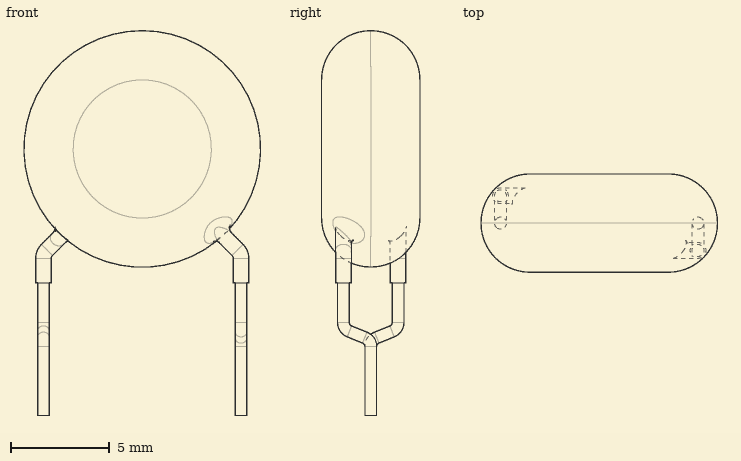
import cadquery as cq
import math

body_diameter = 12.0
body_thickness = 5.0
body_radius = body_diameter / 2
rim_radius = body_thickness / 2
flat_radius = body_radius - rim_radius

total_height = 19.5
lead_spacing = 10.0
lead_offset = 1.38
wire_diameter = 0.6
sleeve_diameter = 0.8
lead_x = lead_spacing / 2
tip_z = body_radius - total_height

sleeve_bottom_z = -6.79
sleeve_bend_z = -5.54
sleeve_bend_radius = 0.6
sleeve_bend_angle = math.radians(45)
sleeve_slope_length = 2.73
sleeve_fillet = 0.6

jog_bottom_z = -10.0
jog_bend_radius = 0.49
jog_bend_angle = math.radians(68)


def arc_offset(radius, angle):
    """Sideways and lengthwise travel along an arc that starts vertical."""
    return radius * (1 - math.cos(angle)), radius * math.sin(angle)


def make_body():
    """Flat disc core surrounded by a torus that forms the rounded rim."""
    core = cq.Workplane("XZ").circle(flat_radius).extrude(rim_radius, both=True)
    rim = cq.Solid.makeTorus(flat_radius, rim_radius, cq.Vector(0, 0, 0), cq.Vector(0, 1, 0))
    return core.union(cq.Workplane(obj=rim))


def make_sleeve():
    """Sleeve of the lead at -X, on the +Y side."""
    middle = arc_offset(sleeve_bend_radius, sleeve_bend_angle / 2)
    end = arc_offset(sleeve_bend_radius, sleeve_bend_angle)
    bend_end = (-lead_x + end[0], sleeve_bend_z + end[1])
    slope_end = (
        bend_end[0] + sleeve_slope_length * math.sin(sleeve_bend_angle),
        bend_end[1] + sleeve_slope_length * math.cos(sleeve_bend_angle),
    )
    path = (
        cq.Workplane("XZ", origin=(0, lead_offset, 0))
        .moveTo(-lead_x, sleeve_bottom_z)
        .lineTo(-lead_x, sleeve_bend_z)
        .threePointArc((-lead_x + middle[0], sleeve_bend_z + middle[1]), bend_end)
        .lineTo(*slope_end)
    )
    section = cq.Workplane("XY", origin=(-lead_x, lead_offset, sleeve_bottom_z))
    return section.circle(sleeve_diameter / 2).sweep(path)


def make_wire():
    """Bare wire of the lead at -X, from its tip up to the end of the sleeve."""
    middle = arc_offset(jog_bend_radius, jog_bend_angle / 2)
    end = arc_offset(jog_bend_radius, jog_bend_angle)
    slope_run = lead_offset - 2 * end[0]
    slope_rise = slope_run / math.tan(jog_bend_angle)
    jog_top_z = jog_bottom_z + 2 * end[1] + slope_rise
    path = (
        cq.Workplane("YZ", origin=(-lead_x, 0, 0))
        .moveTo(0, tip_z)
        .lineTo(0, jog_bottom_z)
        .threePointArc((middle[0], jog_bottom_z + middle[1]), (end[0], jog_bottom_z + end[1]))
        .lineTo(lead_offset - end[0], jog_top_z - end[1])
        .threePointArc((lead_offset - middle[0], jog_top_z - middle[1]), (lead_offset, jog_top_z))
        .lineTo(lead_offset, sleeve_bottom_z)
    )
    section = cq.Workplane("XY", origin=(-lead_x, 0, tip_z))
    return section.circle(wire_diameter / 2).sweep(path)


def half_turn(shape):
    """Copy turned half a turn about the Z axis."""
    return shape.rotate((0, 0, 0), (0, 0, 1), 180)


def is_joint(edge):
    """Tell whether an edge is one of the free curves where a sleeve enters the body."""
    return edge.geomType() not in ("LINE", "CIRCLE")


sleeve = make_sleeve()
wire = make_wire()

coated = make_body().union(sleeve).union(half_turn(sleeve))
coated = coated.edges().filter(is_joint).fillet(sleeve_fillet)
result = coated.union(wire).union(half_turn(wire))